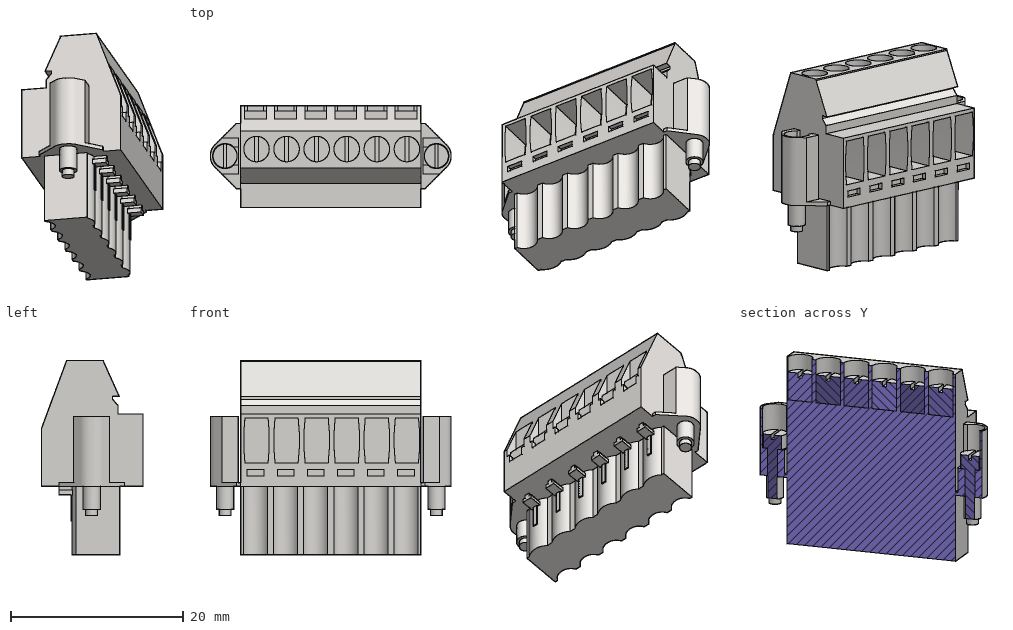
import cadquery as cq
import math

POLES = 6
PITCH = 3.5

HOUSING_WIDTH = 20.95
HOUSING_FRONT = -5.98
HOUSING_BACK = 5.85
HOUSING_TOP = 14.65
TOP_FRONT = -1.4
TOP_BACK = 2.9
TOP_LIP_HEIGHT = 0.17
BACK_SLOPE_FOOT = 6.7
SHELF_Z = 8.4
SHELF_BACK = -3.07
GROOVE_FRONT = -3.2
GROOVE_BACK = -2.43
GROOVE_TOP = 10.45
GROOVE_WALL_FOOT = 10.11
GROOVE_RAMP_FOOT = 9.4

PLUG_DEPTH = 7.95
PLUG_FRONT = -3.27
LOBE_FOOT = 1.8
LOBE_CROWN = 2.3
CELL_WIDTH = 2.8
SCALLOP_DEPTH = 0.85

RIB_WIDTH = 0.55
RIB_BACK = 2.4
RIB_BOTTOM = -4.02
HOOK_BACK = 3.8
HOOK_PLATE_WIDTH = 1.23
HOOK_PLATE_TOP = -0.45
HOOK_PLATE_BOTTOM = -0.98

ENTRY_OFFSET = 0.1
ENTRY_BOTTOM = 2.75
ENTRY_TOP = 7.95
ENTRY_END_WIDTH = 2.68
ENTRY_MIDDLE_WIDTH = 3.0
ENTRY_DEPTH = 4.2
TEST_SLOT_WIDTH = 1.93
TEST_SLOT_BOTTOM = 1.23
TEST_SLOT_TOP = 1.95
TEST_SLOT_DEPTH = 0.55

RECESS_WIDTH = 2.55
RECESS_FRONT = 4.3
RECESS_STEP_Y = 5.22
RECESS_FLOOR = 6.7
RECESS_STEP_FLOOR = 5.6
NOTCH_WIDTH = 1.9
NOTCH_FLOOR = 4.47

CLAMP_RADIUS = 1.48
CLAMP_Y = 0.8
CLAMP_SINK = 1.82
CLAMP_LENGTH = 3.35
CLAMP_SLOT_WIDTH = 0.45
SLOT_DEPTH = 0.55

FLANGE_X = 12.27
FLANGE_TIP_X = 13.97
FLANGE_TIP_FLAT = 0.28
FLANGE_TIP_RADIUS = 1.55
FLANGE_SLANT = 45.0
FLANGE_HALF_DEPTH = 3.8
FLANGE_THICKNESS = 0.45
COLUMN_HALF_DEPTH = 2.1
COLUMN_TOP = 8.13
COLUMN_GAP = 0.25
BORE_RADIUS = 1.45
BORE_FLOOR = 3.35
COLUMN_SLOT_WIDTH = 2.07

HEAD_RADIUS = 1.4
HEAD_HEIGHT = 1.68
SHANK_RADIUS = 1.0
SHANK_BOTTOM = -2.68
TIP_RADIUS = 0.7
TIP_BOTTOM = -3.4
FLANGE_SLOT_WIDTH = 0.35

HALF_WIDTH = HOUSING_WIDTH / 2
POLE_XS = [(i - (POLES - 1) / 2) * PITCH for i in range(POLES)]
CLAMP_TOP = HOUSING_TOP - CLAMP_SINK
CLAMP_BOTTOM = CLAMP_TOP - CLAMP_LENGTH
COLUMN_INNER_X = HALF_WIDTH + COLUMN_GAP


def block(x_min, x_max, y_min, y_max, z_min, z_max):
    """Axis-aligned box between the given limits."""
    size = (x_max - x_min, y_max - y_min, z_max - z_min)
    return cq.Workplane("XY").box(*size, centered=False).translate((x_min, y_min, z_min))


def centred_block(x, width, y_min, y_max, z_min, z_max):
    """Box of the given width centred on x."""
    return block(x - width / 2, x + width / 2, y_min, y_max, z_min, z_max)


def rod(x, y, radius, z_min, z_max):
    """Vertical cylinder."""
    return cq.Workplane("XY", origin=(x, y, z_min)).circle(radius).extrude(z_max - z_min)


def housing_body():
    """Side profile extruded along the row of poles."""
    profile = [
        (HOUSING_FRONT, 0),
        (HOUSING_BACK, 0),
        (HOUSING_BACK, BACK_SLOPE_FOOT),
        (TOP_BACK, HOUSING_TOP),
        (TOP_FRONT, HOUSING_TOP),
        (TOP_FRONT, HOUSING_TOP - TOP_LIP_HEIGHT),
        (GROOVE_FRONT, GROOVE_TOP),
        (GROOVE_BACK, GROOVE_TOP),
        (GROOVE_BACK, GROOVE_WALL_FOOT),
        (SHELF_BACK, GROOVE_RAMP_FOOT),
        (SHELF_BACK, SHELF_Z),
        (HOUSING_FRONT, SHELF_Z),
    ]
    return cq.Workplane("YZ").polyline(profile).close().extrude(HALF_WIDTH, both=True)


def plug_block():
    """Plug with a hollow scallop at the front and a bulging lobe at the back of every pole."""
    half_cell = CELL_WIDTH / 2
    scallop_bottom = PLUG_FRONT + SCALLOP_DEPTH
    outline = cq.Workplane("XY").moveTo(-HALF_WIDTH, PLUG_FRONT)
    for x in POLE_XS:
        outline = outline.lineTo(x - half_cell, PLUG_FRONT)
        outline = outline.threePointArc((x, scallop_bottom), (x + half_cell, PLUG_FRONT))
    outline = outline.lineTo(HALF_WIDTH, PLUG_FRONT).lineTo(HALF_WIDTH, LOBE_FOOT)
    for x in reversed(POLE_XS):
        outline = outline.lineTo(x + half_cell, LOBE_FOOT)
        outline = outline.threePointArc((x, LOBE_CROWN), (x - half_cell, LOBE_FOOT))
    outline = outline.lineTo(-HALF_WIDTH, LOBE_FOOT)
    return outline.close().extrude(-PLUG_DEPTH)


def coding_rib(x):
    """Low upright rib on the crown of a lobe."""
    return centred_block(x, RIB_WIDTH, 0, RIB_BACK, RIB_BOTTOM, 0)


def latch_hook(x):
    """T-shaped hook: a wide plate hung from the housing by a web as narrow as the rib."""
    web = centred_block(x, RIB_WIDTH, 0, HOOK_BACK, HOOK_PLATE_BOTTOM, 0)
    plate = centred_block(x, HOOK_PLATE_WIDTH, 0, HOOK_BACK, HOOK_PLATE_BOTTOM, HOOK_PLATE_TOP)
    return web.union(plate)


def wire_entry(x):
    """Barrel-shaped pocket in the front face."""
    half_end = ENTRY_END_WIDTH / 2
    half_middle = ENTRY_MIDDLE_WIDTH / 2
    middle_z = (ENTRY_BOTTOM + ENTRY_TOP) / 2
    return (
        cq.Workplane("XZ", origin=(x, HOUSING_FRONT, 0))
        .moveTo(-half_end, ENTRY_BOTTOM)
        .lineTo(half_end, ENTRY_BOTTOM)
        .threePointArc((half_middle, middle_z), (half_end, ENTRY_TOP))
        .lineTo(-half_end, ENTRY_TOP)
        .threePointArc((-half_middle, middle_z), (-half_end, ENTRY_BOTTOM))
        .close()
        .extrude(-ENTRY_DEPTH)
    )


def test_slot(x):
    """Small rectangular slot below a wire entry."""
    slot_end = HOUSING_FRONT + TEST_SLOT_DEPTH
    return centred_block(x, TEST_SLOT_WIDTH, HOUSING_FRONT, slot_end, TEST_SLOT_BOTTOM, TEST_SLOT_TOP)


def back_recess(x):
    """Recess in the back slope whose floor steps down twice towards the back."""
    recess = centred_block(x, RECESS_WIDTH, RECESS_FRONT, HOUSING_BACK, RECESS_FLOOR, HOUSING_TOP)
    step = centred_block(
        x, RECESS_WIDTH, RECESS_STEP_Y, HOUSING_BACK, RECESS_STEP_FLOOR, RECESS_FLOOR
    )
    notch = centred_block(
        x, NOTCH_WIDTH, RECESS_STEP_Y, HOUSING_BACK, NOTCH_FLOOR, RECESS_STEP_FLOOR
    )
    return recess.union(step).union(notch)


def flange_prism(height):
    """Flange outline with a flat, rounded tip towards +X, extruded up from Z = 0."""
    slant = math.radians(FLANGE_SLANT)
    half_slant = slant / 2
    half_flat = FLANGE_TIP_FLAT / 2
    arc_x = FLANGE_TIP_X - FLANGE_TIP_RADIUS

    def arc_point(angle):
        return (
            arc_x + FLANGE_TIP_RADIUS * math.cos(angle),
            half_flat + FLANGE_TIP_RADIUS * math.sin(angle),
        )

    slant_x, slant_y = arc_point(slant)
    corner_x = slant_x - (FLANGE_HALF_DEPTH - slant_y) * math.tan(slant)
    half = (
        cq.Workplane("XY")
        .moveTo(HALF_WIDTH, 0)
        .lineTo(FLANGE_TIP_X, 0)
        .lineTo(FLANGE_TIP_X, half_flat)
        .threePointArc(arc_point(half_slant), (slant_x, slant_y))
        .lineTo(corner_x, FLANGE_HALF_DEPTH)
        .lineTo(HALF_WIDTH, FLANGE_HALF_DEPTH)
        .close()
        .extrude(height)
    )
    return half.union(half.mirror("XZ")).clean()


def screw_flange():
    """Flange plate for the +X end, carrying a bored column that is slotted towards the housing."""
    plate = flange_prism(FLANGE_THICKNESS)
    column_limits = block(
        COLUMN_INNER_X, FLANGE_TIP_X, -COLUMN_HALF_DEPTH, COLUMN_HALF_DEPTH, 0, COLUMN_TOP
    )
    column = flange_prism(COLUMN_TOP).intersect(column_limits)
    half_slot = COLUMN_SLOT_WIDTH / 2
    bore = rod(FLANGE_X, 0, BORE_RADIUS, BORE_FLOOR, COLUMN_TOP)
    side_slot = block(COLUMN_INNER_X, FLANGE_X, -half_slot, half_slot, BORE_FLOOR, COLUMN_TOP)
    shank_hole = rod(FLANGE_X, 0, SHANK_RADIUS, 0, BORE_FLOOR)
    return plate.union(column).cut(bore).cut(side_slot).cut(shank_hole)


def make_housing():
    """Housing, plug, hooks and both flanges as one moulding."""
    housing = housing_body().union(plug_block())
    for x in POLE_XS:
        housing = housing.union(coding_rib(x)).union(latch_hook(x))
        housing = housing.cut(wire_entry(x + ENTRY_OFFSET))
        housing = housing.cut(test_slot(x))
        housing = housing.cut(back_recess(x))
        housing = housing.cut(rod(x + ENTRY_OFFSET, CLAMP_Y, CLAMP_RADIUS, CLAMP_BOTTOM, HOUSING_TOP))
    flange = screw_flange()
    return housing.union(flange).union(flange.mirror("YZ"))


def make_terminal_screw(x):
    """Slotted screw sunk in the top of the housing."""
    screw = rod(x, CLAMP_Y, CLAMP_RADIUS, CLAMP_BOTTOM, CLAMP_TOP)
    slot = centred_block(
        x,
        CLAMP_SLOT_WIDTH,
        CLAMP_Y - CLAMP_RADIUS,
        CLAMP_Y + CLAMP_RADIUS,
        CLAMP_TOP - SLOT_DEPTH,
        CLAMP_TOP,
    )
    return screw.cut(slot)


def make_flange_screw(x):
    """Slotted screw that rests on the bore floor of a flange and passes down through it."""
    head_top = BORE_FLOOR + HEAD_HEIGHT
    head = rod(x, 0, HEAD_RADIUS, BORE_FLOOR, head_top)
    shank = rod(x, 0, SHANK_RADIUS, SHANK_BOTTOM, BORE_FLOOR)
    tip = rod(x, 0, TIP_RADIUS, TIP_BOTTOM, SHANK_BOTTOM)
    slot = centred_block(
        x, FLANGE_SLOT_WIDTH, -HEAD_RADIUS, HEAD_RADIUS, head_top - SLOT_DEPTH, head_top
    )
    return head.union(shank).union(tip).cut(slot)


housing = make_housing()
terminal_screws = [make_terminal_screw(x + ENTRY_OFFSET).val() for x in POLE_XS]
flange_screws = [make_flange_screw(x).val() for x in (-FLANGE_X, FLANGE_X)]

result = cq.Compound.makeCompound([housing.val(), *terminal_screws, *flange_screws])